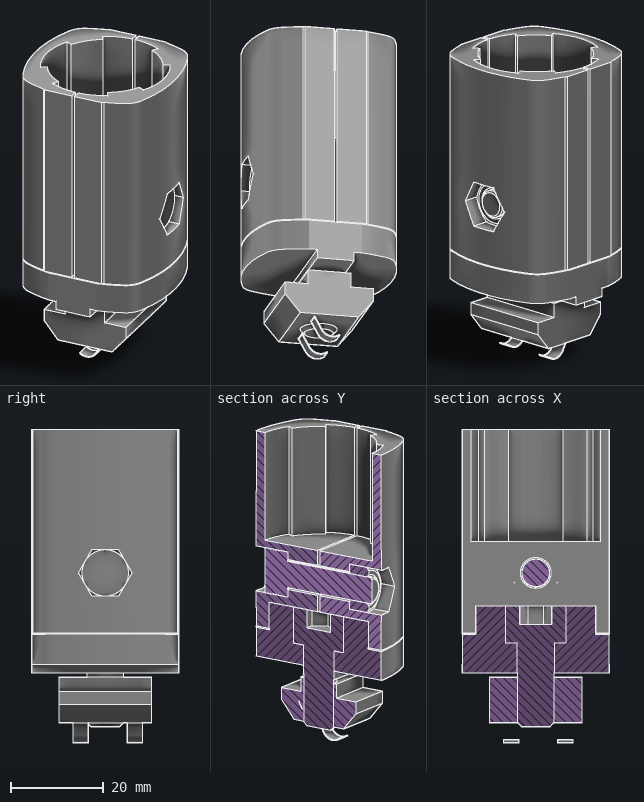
import cadquery as cq
import math

OVERALL_HEIGHT = 67.7

OUTLINE_WIDTH = 33.0
OUTLINE_DEPTH = 31.8
SIDE_RADIUS = 30.2
CORNER_RADIUS = 5.0
BOW_CENTER = SIDE_RADIUS - OUTLINE_WIDTH / 2

CLAMP_HEIGHT = 44.0
CLAMP_GAP = 0.2
CLAMP_BOTTOM = CLAMP_GAP
CLAMP_TOP = CLAMP_BOTTOM + CLAMP_HEIGHT
SLIT_WIDTH = 0.6
LIP_TOP_WIDTH = 13.7
LIP_FOOT_WIDTH = 14.5
SOCKET_DIAMETER = 28.0
SOCKET_FLOOR = 20.0
TOOTH_COUNT = 4
TOOTH_TIP_RADIUS = 12.5
TOOTH_TIP_WIDTH = 7.3
TOOTH_ROOT_WIDTH = 8.1

BASE_THICKNESS = 6.6
BOSS_DIAMETER = 26.0
BOSS_HEIGHT = 6.1
RAIL_WIDTH = 8.2
RAIL_HEIGHT = 1.9
RAIL_BOTTOM = -BASE_THICKNESS - RAIL_HEIGHT

BOLT_ABOVE_CLAMP_BOTTOM = 13.0
BOLT_HEIGHT = CLAMP_BOTTOM + BOLT_ABOVE_CLAMP_BOTTOM
BOLT_DIAMETER = 6.0
BOLT_HOLE_DIAMETER = 6.65
BOLT_TIP_DIAMETER = 5.2
BOLT_TIP_X = -14.0
BOLT_HEAD_DIAMETER = 10.0
BOLT_HEAD_LENGTH = 6.0
SEAT_DISTANCE = 8.2
NUT_ACROSS_FLATS = 10.0
NUT_CORNER_RADIUS = NUT_ACROSS_FLATS / 2 / math.cos(math.radians(30))
NUT_THICKNESS = 5.0
NUT_FACE_DIAMETER = 8.8
NUT_CHAMFER_ANGLE = 30
NUT_COUNTERSINK_DIAMETER = 6.9

T_NUT_GAP = 0.8
T_NUT_TOP = RAIL_BOTTOM - T_NUT_GAP
T_NUT_LENGTH = 20.05
STEM_WIDTH = 9.5
STEM_HEIGHT = 3.2
WING_WIDTH = 19.6
WING_SIDE_HEIGHT = 2.7
T_NUT_FOOT_WIDTH = 13.0
FOOT_HEIGHT = 4.0
T_NUT_BOTTOM = T_NUT_TOP - STEM_HEIGHT - WING_SIDE_HEIGHT - FOOT_HEIGHT

SCREW_DIAMETER = 8.0
SCREW_HEAD_DIAMETER = 13.0
SCREW_HEAD_HEIGHT = 8.0
SCREW_SOCKET_CORNERS = 6.9
SCREW_SOCKET_DEPTH = 4.0
SCREW_TIP_LENGTH = 0.9
SCREW_BOTTOM = T_NUT_BOTTOM - SCREW_TIP_LENGTH

SPRING_THICKNESS = 0.2
SPRING_SLOPE = 61
SPRING_BEND_RADIUS = 2.85
SPRING_TIP_ANGLE = 36
SPRING_BEND_X = -1.15
SPRING_BOTTOM = CLAMP_TOP - OVERALL_HEIGHT
SPRING_LEG_WIDTH = 3.3
SPRING_LEG_STARTS = (-7.0, 4.75)
BRIDGE_DEPTH = 2.7
BRIDGE_HEIGHT = 1.7
BRIDGE_BOTTOM = T_NUT_BOTTOM + BRIDGE_DEPTH
SPRING_TOP = BRIDGE_BOTTOM + BRIDGE_HEIGHT


def cylinder(diameter, bottom, top):
    return cq.Workplane("XY").workplane(offset=bottom).circle(diameter / 2).extrude(top - bottom)


def cylinder_along_x(diameter, start, end):
    disc = cq.Workplane("YZ", origin=(start, 0, BOLT_HEIGHT)).circle(diameter / 2)
    return disc.extrude(end - start)


def hexagon_along_x(start, end):
    hexagon = cq.Workplane("YZ", origin=(start, 0, BOLT_HEIGHT)).polygon(6, 2 * NUT_CORNER_RADIUS)
    return hexagon.extrude(end - start)


def box(width, depth, bottom, top):
    rectangle = cq.Workplane("XY").workplane(offset=bottom).rect(width, depth)
    return rectangle.extrude(top - bottom)


def bow_height(x):
    """Distance of the bowed front or back side from the middle, at x."""
    return math.sqrt(SIDE_RADIUS**2 - x**2) - BOW_CENTER


def half_outline_block(start_x, flat_points, bottom, top):
    """Block under the part of the outline right of start_x.

    flat_points lead from the end of the back flat to where the bowed back side begins;
    the front is its mirror image.
    """
    back = [(start_x, OUTLINE_DEPTH / 2)] + flat_points
    front = [(x, -y) for x, y in back]
    bow_start = flat_points[-1][0]

    reach = SIDE_RADIUS - CORNER_RADIUS
    corner_center = (math.sqrt(2 * reach**2 - BOW_CENTER**2) - BOW_CENTER) / 2
    corner_middle = corner_center + CORNER_RADIUS * math.sqrt(0.5)
    near = corner_center * SIDE_RADIUS / reach
    far = bow_height(near)
    bow_middle = (bow_start + near) / 2

    return (
        cq.Workplane("XY").workplane(offset=bottom)
        .polyline(front)
        .threePointArc((bow_middle, -bow_height(bow_middle)), (near, -far))
        .threePointArc((corner_middle, -corner_middle), (far, -near))
        .threePointArc((OUTLINE_WIDTH / 2, 0), (far, near))
        .threePointArc((corner_middle, corner_middle), (near, far))
        .threePointArc((bow_middle, bow_height(bow_middle)), back[-1])
        .polyline(back[::-1])
        .close()
        .extrude(top - bottom)
    )


def tube_socket():
    """Round socket with teeth on its wall, one on each diagonal."""
    socket = cylinder(SOCKET_DIAMETER, SOCKET_FLOOR, CLAMP_TOP)
    root_radius = SOCKET_DIAMETER / 2
    tip = TOOTH_TIP_WIDTH / 2
    root = TOOTH_ROOT_WIDTH / 2
    tip_x = math.sqrt(TOOTH_TIP_RADIUS**2 - tip**2)
    root_x = math.sqrt(root_radius**2 - root**2)
    tooth = (
        cq.Workplane("XY").workplane(offset=SOCKET_FLOOR)
        .moveTo(tip_x, -tip)
        .threePointArc((TOOTH_TIP_RADIUS, 0), (tip_x, tip))
        .lineTo(root_x, root)
        .threePointArc((root_radius, 0), (root_x, -root))
        .close()
        .extrude(CLAMP_TOP - SOCKET_FLOOR)
    )
    for i in range(TOOTH_COUNT):
        angle = (i + 0.5) * 360 / TOOTH_COUNT
        socket = socket.cut(tooth.rotate((0, 0, 0), (0, 0, 1), angle))
    return socket


def make_clamp_half(side):
    """Half of the split clamp: side is -1 for the nut half, +1 for the bolt head half."""
    lip_foot = LIP_FOOT_WIDTH / 2
    lip = [(LIP_TOP_WIDTH / 2, OUTLINE_DEPTH / 2), (lip_foot, bow_height(lip_foot))]
    clamp = half_outline_block(SLIT_WIDTH / 2, lip, CLAMP_BOTTOM, CLAMP_TOP)
    clamp = clamp.cut(tube_socket())
    clamp = clamp.cut(cylinder(BOSS_DIAMETER, CLAMP_BOTTOM, BOSS_HEIGHT))
    outside = OUTLINE_WIDTH / 2
    clamp = clamp.cut(cylinder_along_x(BOLT_HOLE_DIAMETER, 0, outside))
    clamp = clamp.cut(hexagon_along_x(SEAT_DISTANCE, outside))
    if side < 0:
        clamp = clamp.mirror("YZ")
    return clamp


def make_base():
    flat_y = OUTLINE_DEPTH / 2
    flat_x = math.sqrt(SIDE_RADIUS**2 - (BOW_CENTER + flat_y)**2)
    right_half = half_outline_block(0, [(flat_x, flat_y)], -BASE_THICKNESS, 0)
    base = right_half.union(right_half.mirror("YZ"))
    base = base.union(cylinder(BOSS_DIAMETER, 0, BOSS_HEIGHT))
    base = base.union(box(RAIL_WIDTH, OUTLINE_DEPTH, RAIL_BOTTOM, -BASE_THICKNESS))
    base = base.cut(cylinder(SCREW_DIAMETER, RAIL_BOTTOM, BOSS_HEIGHT))
    return base.cut(cylinder(SCREW_HEAD_DIAMETER, BOSS_HEIGHT - SCREW_HEAD_HEIGHT, BOSS_HEIGHT))


def make_clamp_bolt():
    tip_chamfer = (BOLT_DIAMETER - BOLT_TIP_DIAMETER) / 2
    shank = cylinder_along_x(BOLT_DIAMETER, BOLT_TIP_X, SEAT_DISTANCE)
    shank = shank.faces("<X").chamfer(tip_chamfer)
    head = cylinder_along_x(BOLT_HEAD_DIAMETER, SEAT_DISTANCE, SEAT_DISTANCE + BOLT_HEAD_LENGTH)
    return shank.union(head)


def make_clamp_nut():
    face_x = -SEAT_DISTANCE - NUT_THICKNESS
    face_radius = NUT_FACE_DIAMETER / 2
    cone_length = (NUT_CORNER_RADIUS - face_radius) * math.tan(math.radians(NUT_CHAMFER_ANGLE))
    envelope = (
        cq.Workplane("XY")
        .polyline([
            (face_x, 0),
            (face_x, face_radius),
            (face_x + cone_length, NUT_CORNER_RADIUS),
            (-SEAT_DISTANCE, NUT_CORNER_RADIUS),
            (-SEAT_DISTANCE, 0),
        ])
        .close()
        .revolve(360, (0, 0, 0), (1, 0, 0))
        .translate((0, 0, BOLT_HEIGHT))
    )
    nut = hexagon_along_x(face_x, -SEAT_DISTANCE).intersect(envelope)
    nut = nut.cut(cylinder_along_x(BOLT_DIAMETER, face_x, -SEAT_DISTANCE))
    countersink = (NUT_COUNTERSINK_DIAMETER - BOLT_DIAMETER) / 2
    return nut.faces("<X").edges(cq.selectors.RadiusNthSelector(0)).chamfer(countersink)


def make_screw():
    shank = cylinder(SCREW_DIAMETER, SCREW_BOTTOM, BOSS_HEIGHT).faces("<Z").chamfer(SCREW_TIP_LENGTH)
    screw = shank.union(cylinder(SCREW_HEAD_DIAMETER, BOSS_HEIGHT - SCREW_HEAD_HEIGHT, BOSS_HEIGHT))
    socket = (
        cq.Workplane("XY").workplane(offset=BOSS_HEIGHT - SCREW_SOCKET_DEPTH)
        .transformed(rotate=(0, 0, 30))
        .polygon(6, SCREW_SOCKET_CORNERS)
        .extrude(SCREW_SOCKET_DEPTH)
    )
    return screw.cut(socket)


def spring_sheet(start_y, width):
    """Bent strip: a sloping leg that curls under at its foot, start_y to start_y + width."""
    slope = math.radians(SPRING_SLOPE)
    center_z = SPRING_BOTTOM + SPRING_BEND_RADIUS
    inner_radius = SPRING_BEND_RADIUS - SPRING_THICKNESS

    def bend_point(radius, angle):
        return (SPRING_BEND_X + radius * math.sin(angle), center_z - radius * math.cos(angle))

    def leg_top(radius):
        x, z = bend_point(radius, slope)
        return (x + (SPRING_TOP - z) / math.tan(slope), SPRING_TOP)

    tip = -math.radians(SPRING_TIP_ANGLE)
    profile = (
        cq.Workplane("XZ", origin=(0, start_y + width, 0))
        .moveTo(*leg_top(SPRING_BEND_RADIUS))
        .lineTo(*bend_point(SPRING_BEND_RADIUS, slope))
        .threePointArc(bend_point(SPRING_BEND_RADIUS, 0), bend_point(SPRING_BEND_RADIUS, tip))
        .lineTo(*bend_point(inner_radius, tip))
        .threePointArc(bend_point(inner_radius, 0), bend_point(inner_radius, slope))
        .lineTo(*leg_top(inner_radius))
        .close()
    )
    return profile.extrude(width)


def make_spring():
    first, last = SPRING_LEG_STARTS
    full_width = last + SPRING_LEG_WIDTH - first
    bridge_zone = box(WING_WIDTH, T_NUT_LENGTH, BRIDGE_BOTTOM, SPRING_TOP)
    spring = spring_sheet(first, full_width).intersect(bridge_zone)
    for start_y in SPRING_LEG_STARTS:
        spring = spring.union(spring_sheet(start_y, SPRING_LEG_WIDTH))
    return spring


def make_t_nut(spring_body):
    shoulder = T_NUT_TOP - STEM_HEIGHT
    right_side = [
        (STEM_WIDTH / 2, T_NUT_TOP),
        (STEM_WIDTH / 2, shoulder),
        (WING_WIDTH / 2, shoulder),
        (WING_WIDTH / 2, shoulder - WING_SIDE_HEIGHT),
        (T_NUT_FOOT_WIDTH / 2, T_NUT_BOTTOM),
    ]
    left_side = [(-x, z) for x, z in reversed(right_side)]
    t_nut = cq.Workplane("XZ").polyline(right_side + left_side).close()
    t_nut = t_nut.extrude(T_NUT_LENGTH / 2, both=True)
    t_nut = t_nut.cut(cylinder(SCREW_DIAMETER, T_NUT_BOTTOM, T_NUT_TOP))
    return t_nut.cut(spring_body)


clamp_halves = [make_clamp_half(side) for side in (-1, 1)]
base = make_base()
clamp_bolt = make_clamp_bolt()
clamp_nut = make_clamp_nut()
screw = make_screw()
spring = make_spring()
t_nut = make_t_nut(spring)

result = cq.Compound.makeCompound([
    *[half.val() for half in clamp_halves],
    base.val(),
    clamp_bolt.val(),
    clamp_nut.val(),
    screw.val(),
    spring.val(),
    t_nut.val(),
])